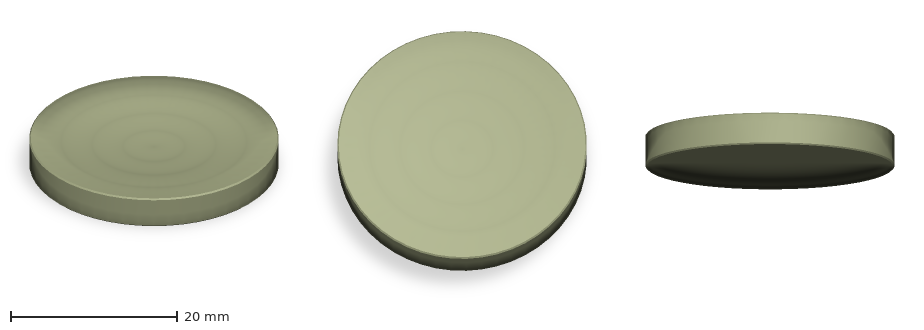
import cadquery as cq
import math

diameter = 30.0
edge_thickness = 3.84
centre_thickness = 2.5
bevel = 0.17

radius = diameter / 2
face_radius = radius - bevel
bottom = -edge_thickness / 2
top = bottom + edge_thickness
face_centre = bottom + centre_thickness

sag = edge_thickness - centre_thickness
sphere_radius = (face_radius**2 + sag**2) / (2 * sag)

mid_radius = face_radius / 2
mid_height = face_centre + sphere_radius - math.sqrt(sphere_radius**2 - mid_radius**2)

half_section = (
    cq.Workplane("XZ")
    .moveTo(0, bottom)
    .lineTo(-face_radius, bottom)
    .lineTo(-radius, bottom + bevel)
    .lineTo(-radius, top - bevel)
    .lineTo(-face_radius, top)
    .threePointArc((-mid_radius, mid_height), (0, face_centre))
    .close()
)

result = half_section.revolve(360, (0, 0, 0), (0, 1, 0))